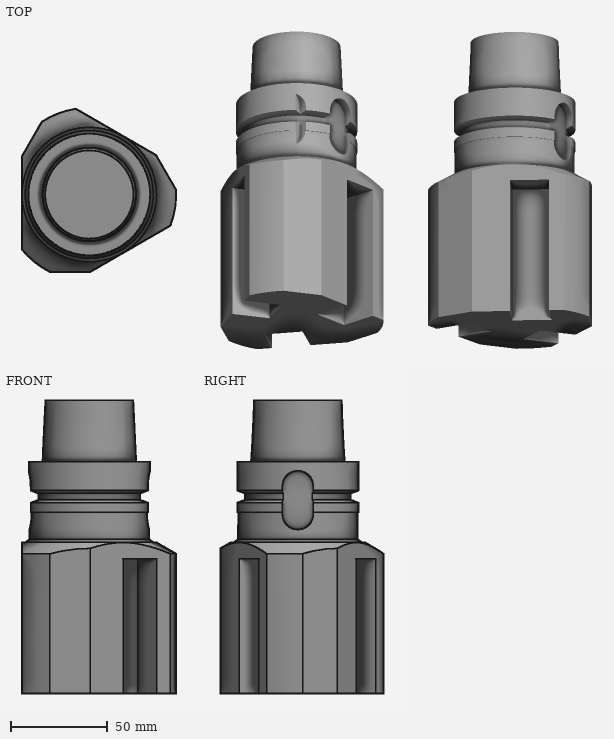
import cadquery as cq
import math

total_height = 152.0
shoulder_height = 78.3
flare_height = 80.0
rib_bottom = 94.0
groove_bottom = 98.8
groove_top = 105.2
groove_bevel = 1.5
collar_top = 120.1

shank_top_radius = 22.8
shank_base_radius = 24.3
collar_radius = 63.0 / 2
neck_radius = 62.0 / 2
groove_radius = 27.5
flare_radius = 33.1
shoulder_radius = 34.8
body_radius = 45.0
shoulder_angle = 30.0

sides = 3
wide_flat_distance = 35.0
narrow_flat_distance = 40.1
first_wide_flat = 180.0
first_narrow_flat = 30.0

pocket_width = 20.2
pocket_depth = 20.0
pocket_height = 69.8

slot_width = 16.0
slot_length = 30.4
slot_center_height = 100.2
drive_floor = 26.5
notch_offset = 28.0
notch_floor = 20.5


def turned_blank():
    shoulder_drop = (body_radius - shoulder_radius) * math.tan(math.radians(shoulder_angle))
    profile = [
        (0, 0),
        (body_radius, 0),
        (body_radius, shoulder_height - shoulder_drop),
        (shoulder_radius, shoulder_height),
        (flare_radius, shoulder_height),
        (neck_radius, flare_height),
        (neck_radius, rib_bottom),
        (collar_radius, rib_bottom),
        (collar_radius, groove_bottom),
        (groove_radius, groove_bottom + groove_bevel),
        (groove_radius, groove_top - groove_bevel),
        (collar_radius, groove_top),
        (collar_radius, collar_top),
        (shank_base_radius, collar_top),
        (shank_top_radius, total_height),
        (0, total_height),
    ]
    return cq.Workplane("XZ").polyline(profile).close().revolve(360, (0, 0), (0, 1))


def around_axis(shape, first_angle):
    """Three copies of a shape, spaced evenly around Z."""
    return [
        shape.rotate((0, 0, 0), (0, 0, 1), first_angle + i * 360 / sides)
        for i in range(sides)
    ]


def flat_cutter(distance):
    """Block that removes everything beyond a plane at the given +X distance."""
    size = 2 * body_radius
    return cq.Workplane("XY").box(
        size, size, total_height, centered=(False, True, False)
    ).translate((distance, 0, 0))


def pocket_cutter():
    """Pocket in a wide flat facing +X, with one wall on the plane through the axis."""
    return cq.Workplane("XY").box(
        body_radius, pocket_width, pocket_height, centered=False
    ).translate((wide_flat_distance - pocket_depth, 0, 0))


def slot_cutter(floor, offset):
    """Slot open toward +X, with its floor at the given X and its middle at the given Y."""
    return (
        cq.Workplane("YZ", origin=(floor, offset, slot_center_height))
        .slot2D(slot_length, slot_width, 90)
        .extrude(collar_radius)
    )


result = turned_blank()

for cutter in around_axis(flat_cutter(wide_flat_distance), first_wide_flat):
    result = result.cut(cutter)
for cutter in around_axis(flat_cutter(narrow_flat_distance), first_narrow_flat):
    result = result.cut(cutter)
for cutter in around_axis(pocket_cutter(), first_wide_flat):
    result = result.cut(cutter)

drive_slot = slot_cutter(drive_floor, 0)
result = result.cut(drive_slot).cut(drive_slot.mirror("YZ"))

result = result.cut(slot_cutter(notch_floor, notch_offset).mirror("YZ"))